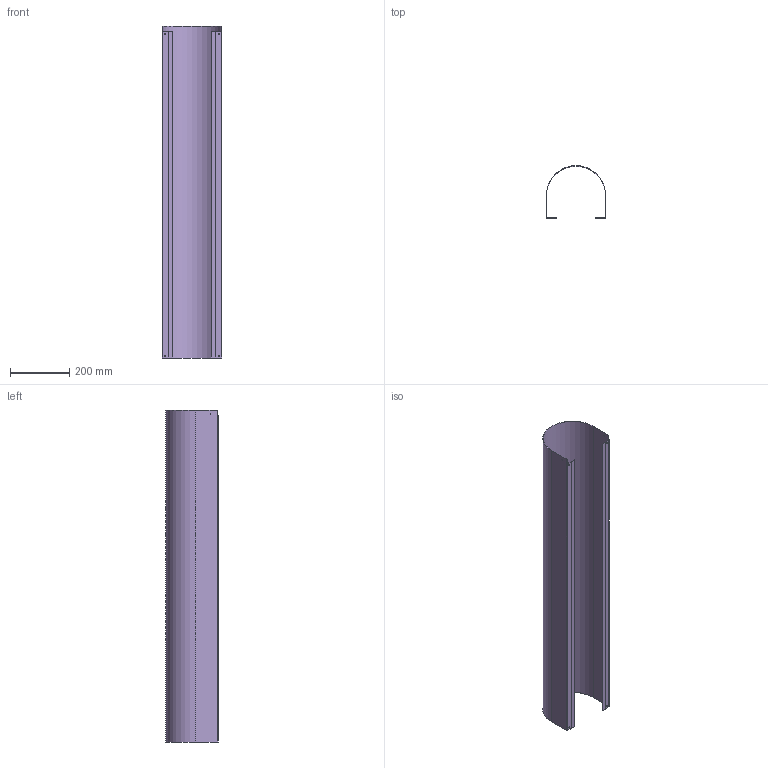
import cadquery as cq

WIDTH = 200.0
DEPTH = 176.5
HEIGHT = 1120.0

SHEET = 0.5
BEND_OUTER_RADIUS = 1.5

FLANGE_TOP_GAP = 18.0
FLANGE_HEIGHT = HEIGHT - FLANGE_TOP_GAP
FLANGE_WIDTH = 35.0
STEP_DISTANCE = 20.0
STEP_DEPTH = 1.5

FLANGE_HOLE_DIAMETER = 4.0
FLANGE_HOLE_INSET = 10.0
FLANGE_HOLE_END_DISTANCE = 8.0
WALL_HOLE_DIAMETER = 2.5
WALL_HOLE_FRONT_DISTANCE = 26.0
WALL_HOLE_TOP_DISTANCE = 13.0

OUTER_RADIUS = WIDTH / 2
INNER_RADIUS = OUTER_RADIUS - SHEET
FRONT_Y = OUTER_RADIUS - DEPTH
FLANGE_FRONT_Y = FRONT_Y + STEP_DEPTH
FLANGE_BACK_Y = FLANGE_FRONT_Y + SHEET
WALL_END_Y = FLANGE_FRONT_Y + BEND_OUTER_RADIUS


def make_shell():
    """U-shaped sheet: a half cylinder with two straight walls."""
    return (
        cq.Workplane("XY")
        .moveTo(-OUTER_RADIUS, WALL_END_Y)
        .lineTo(-OUTER_RADIUS, 0)
        .threePointArc((0, OUTER_RADIUS), (OUTER_RADIUS, 0))
        .lineTo(OUTER_RADIUS, WALL_END_Y)
        .lineTo(INNER_RADIUS, WALL_END_Y)
        .lineTo(INNER_RADIUS, 0)
        .threePointArc((0, INNER_RADIUS), (-INNER_RADIUS, 0))
        .lineTo(-INNER_RADIUS, WALL_END_Y)
        .close()
        .extrude(HEIGHT)
    )


def make_flange():
    """Left flange: a bend off the wall, an outer strip, a square step and an inner strip set forward."""
    edge_x = -OUTER_RADIUS
    step_x = edge_x + STEP_DISTANCE
    tip_x = edge_x + FLANGE_WIDTH
    bend_center_x = edge_x + BEND_OUTER_RADIUS
    bend_inner_radius = BEND_OUTER_RADIUS - SHEET
    return (
        cq.Workplane("XY")
        .moveTo(edge_x, WALL_END_Y)
        .radiusArc((bend_center_x, FLANGE_FRONT_Y), -BEND_OUTER_RADIUS)
        .lineTo(step_x, FLANGE_FRONT_Y)
        .lineTo(step_x, FRONT_Y)
        .lineTo(tip_x, FRONT_Y)
        .lineTo(tip_x, FRONT_Y + SHEET)
        .lineTo(step_x + SHEET, FRONT_Y + SHEET)
        .lineTo(step_x + SHEET, FLANGE_BACK_Y)
        .lineTo(bend_center_x, FLANGE_BACK_Y)
        .radiusArc((edge_x + SHEET, WALL_END_Y), bend_inner_radius)
        .close()
        .extrude(FLANGE_HEIGHT)
    )


def make_flange_holes():
    """Cutters for the holes near both ends of each flange."""
    hole_x = OUTER_RADIUS - FLANGE_HOLE_INSET
    hole_heights = (FLANGE_HOLE_END_DISTANCE, FLANGE_HEIGHT - FLANGE_HOLE_END_DISTANCE)
    points = [(x, z) for x in (-hole_x, hole_x) for z in hole_heights]
    return (
        cq.Workplane("XZ", origin=(0, FLANGE_BACK_Y, 0))
        .pushPoints(points)
        .circle(FLANGE_HOLE_DIAMETER / 2)
        .extrude(SHEET)
    )


def make_wall_holes():
    """Cutter through both straight walls near the top."""
    hole_y = FRONT_Y + WALL_HOLE_FRONT_DISTANCE
    hole_z = HEIGHT - WALL_HOLE_TOP_DISTANCE
    return (
        cq.Workplane("YZ")
        .center(hole_y, hole_z)
        .circle(WALL_HOLE_DIAMETER / 2)
        .extrude(OUTER_RADIUS, both=True)
    )


left_flange = make_flange()
right_flange = left_flange.mirror("YZ")
body = make_shell().union(left_flange).union(right_flange)
result = body.cut(make_flange_holes()).cut(make_wall_holes())